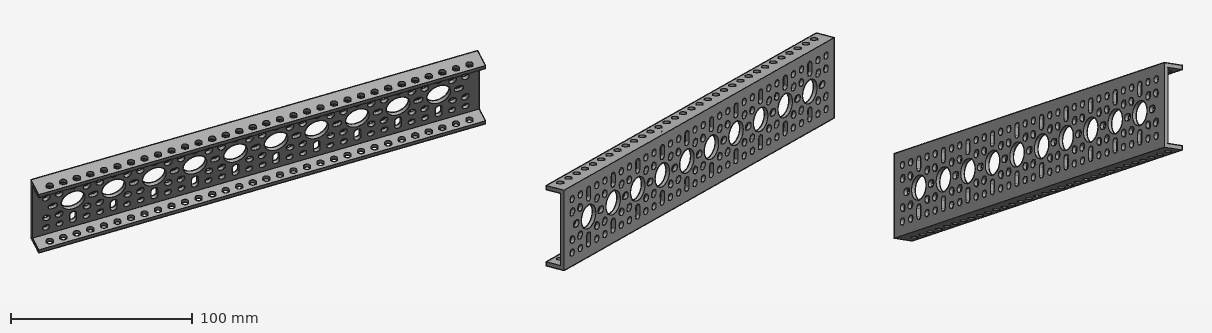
import cadquery as cq
import math

length = 264.0
pitch_count = 33
pitch = length / pitch_count
height = 6 * pitch
flange_width = 1.5 * pitch
thickness = 2.5

small_diameter = 4.0
large_diameter = 14.0
pitches_per_station = 3
station_spacing = pitches_per_station * pitch
large_hole_count = pitch_count // pitches_per_station - 1

square_circle_radius = math.sqrt(2) * pitch
bolt_circle_radius = station_spacing / 2
bolt_circle_diagonal = bolt_circle_radius / math.sqrt(2)
outer_row = 2 * pitch


def from_end(distance):
    """Y position at a distance from the -Y end; the channel is centred along Y."""
    return distance - length / 2


def channel():
    """Plain C-shaped channel, web at X = 0 and flanges toward +X."""
    block = cq.Workplane("XY").box(flange_width, length, height, centered=(False, True, True))
    inside = (
        cq.Workplane("XY")
        .box(flange_width, length, height - 2 * thickness, centered=(False, True, True))
        .translate((thickness, 0, 0))
    )
    return block.cut(inside)


def cut_web_holes(body, points, diameter):
    """Round holes through the web at (Y, Z) points."""
    cutter = cq.Workplane("YZ").pushPoints(points).circle(diameter / 2).extrude(thickness)
    return body.cut(cutter)


def cut_web_slots(body, points, travel, angle):
    """Slots through the web, centred at (Y, Z) points; travel is the distance between end centres."""
    slot_length = travel + small_diameter
    cutter = (
        cq.Workplane("YZ")
        .pushPoints(points)
        .slot2D(slot_length, small_diameter, angle)
        .extrude(thickness)
    )
    return body.cut(cutter)


def cut_flange_holes(body, points):
    """Round holes through both flanges at (X, Y) points."""
    cutter = (
        cq.Workplane("XY")
        .workplane(offset=-height / 2)
        .pushPoints(points)
        .circle(small_diameter / 2)
        .extrude(height)
    )
    return body.cut(cutter)


large_stations = [from_end(i * station_spacing) for i in range(1, large_hole_count + 1)]
columns = range(1, pitch_count)
plain_columns = [from_end(i * pitch) for i in columns if i % pitches_per_station != 0]

result = channel()

result = cut_web_holes(result, [(y, 0) for y in large_stations], large_diameter)

outer_points = [(y, side * outer_row) for y in plain_columns for side in (-1, 1)]
result = cut_web_holes(result, outer_points, small_diameter)

upright_middle = (outer_row + square_circle_radius) / 2
upright_points = [(y, side * upright_middle) for y in large_stations for side in (-1, 1)]
result = cut_web_slots(result, upright_points, outer_row - square_circle_radius, 90)

middle_points = [(from_end((i + 0.5) * station_spacing), 0) for i in range(large_hole_count + 1)]
middle_travel = station_spacing - 2 * square_circle_radius
result = cut_web_slots(result, middle_points, middle_travel, 0)

diagonal_middle = (pitch + bolt_circle_diagonal) / 2
diagonal_travel = bolt_circle_radius - square_circle_radius
all_stations = [from_end(i * station_spacing) for i in range(large_hole_count + 2)]
for y_side in (-1, 1):
    row_centers = [y + y_side * diagonal_middle for y in all_stations]
    inside_centers = [y for y in row_centers if abs(y) < length / 2]
    for z_side in (-1, 1):
        diagonal_points = [(y, z_side * diagonal_middle) for y in inside_centers]
        result = cut_web_slots(result, diagonal_points, diagonal_travel, 45 * y_side * z_side)

result = cut_flange_holes(result, [(pitch, from_end(i * pitch)) for i in columns])